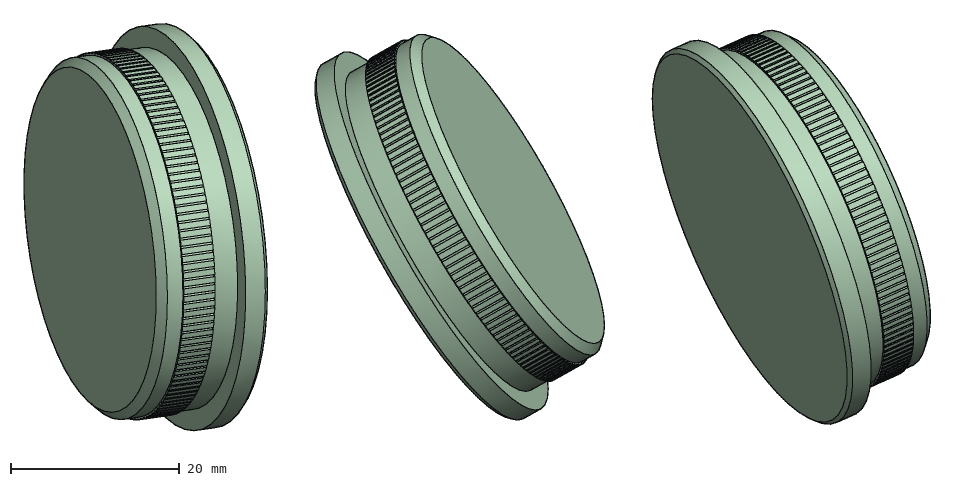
import cadquery as cq
import math

TOTAL_LENGTH = 13.0

FLANGE_DIAMETER = 48.3
FLANGE_THICKNESS = 3.0
FLANGE_CHAMFER = 0.5

BODY_DIAMETER = 43.3
BODY_CHAMFER = 1.0

KNURL_DIAMETER = 43.85
KNURL_WIDTH = 4.0
KNURL_GAP_TO_FLANGE = 3.0
GROOVE_COUNT = 140
GROOVE_RADIUS = 0.125

back_y = TOTAL_LENGTH / 2
front_y = -back_y
flange_front_y = back_y - FLANGE_THICKNESS
knurl_back_y = flange_front_y - KNURL_GAP_TO_FLANGE

flange_radius = FLANGE_DIAMETER / 2
body_radius = BODY_DIAMETER / 2
knurl_radius = KNURL_DIAMETER / 2


def make_plug():
    """Revolve the chamfered flange and body, without the knurl, about Y."""
    half_profile = (
        cq.Workplane("XY")
        .moveTo(0, front_y)
        .lineTo(body_radius - BODY_CHAMFER, front_y)
        .lineTo(body_radius, front_y + BODY_CHAMFER)
        .lineTo(body_radius, flange_front_y)
        .lineTo(flange_radius, flange_front_y)
        .lineTo(flange_radius, back_y - FLANGE_CHAMFER)
        .lineTo(flange_radius - FLANGE_CHAMFER, back_y)
        .lineTo(0, back_y)
        .close()
    )
    return half_profile.revolve(360, (0, 0, 0), (0, 1, 0))


def point_at(radius, angle):
    return (radius * math.cos(angle), radius * math.sin(angle))


def make_knurl():
    """Extrude a disc whose rim alternates groove arcs and tooth-tip arcs."""
    pitch = 2 * math.pi / GROOVE_COUNT
    half_groove = math.asin(GROOVE_RADIUS / knurl_radius)
    groove_floor_radius = knurl_radius - GROOVE_RADIUS

    outline = cq.Workplane("XZ", origin=(0, knurl_back_y, 0))
    outline = outline.moveTo(*point_at(knurl_radius, -half_groove))
    for index in range(GROOVE_COUNT):
        groove_angle = index * pitch
        tooth_start = groove_angle + half_groove
        tooth_middle = groove_angle + pitch / 2
        tooth_end = groove_angle + pitch - half_groove
        outline = outline.threePointArc(
            point_at(groove_floor_radius, groove_angle),
            point_at(knurl_radius, tooth_start),
        )
        outline = outline.threePointArc(
            point_at(knurl_radius, tooth_middle),
            point_at(knurl_radius, tooth_end),
        )
    return outline.close().extrude(KNURL_WIDTH)


result = make_plug().union(make_knurl())